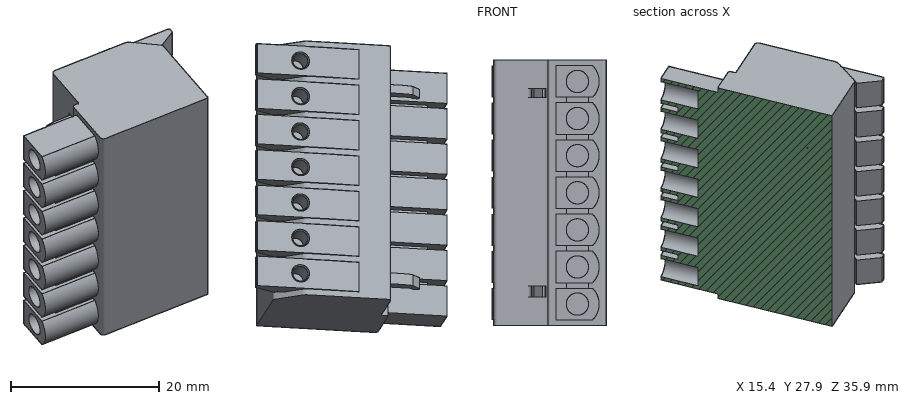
import cadquery as cq
import math


pole_count = 7
end_offset = 2.9

height = 35.88
body_width = 15.2
body_back = 16.65
body_front = 1.0
head_left = 7.32
bevel_width = 3.0
bevel_start = 12.85
front_corner_radius = 0.55
head_corner_radius = 0.32
step_radius = 0.18
bevel_front_radius = 1.08
bevel_back_radius = 0.55
back_corner_radius = 0.18

lever_height = 4.15
lever_proud = 0.2
lever_tip = 19.6
lever_tip_width = 0.83
lever_tip_chamfer = 0.15
lever_nose_x = 2.4
lever_notch = 0.4
lever_flat_end = 9.6
lever_end = 5.45
lever_end_proud = 0.07
lever_root_x = 0.7

test_hole_y = 13.53
test_hole_radius = 1.05
test_hole_mouth_radius = 1.22
test_hole_depth = 3.6

finger_height = 4.27
finger_length = 8.3
finger_left = 8.43
socket_x = 11.3
socket_radius = 1.5
socket_depth = 5.38
finger_radius = 2.95

web_length = 5.85

latch_left = 5.13
latch_right = 6.65
latch_root_radius = 0.45
latch_taper_y = -1.45
latch_ramp_x = 5.4
latch_ramp_y = -2.98
latch_knee_x = 5.27
latch_knee_y = -2.65
latch_tip_y = -4.13
latch_barb = 0.43
latch_tip_chamfer = 0.15
latch_barb_height = 0.83
latch_barb_slope = 0.3
upper_latch_bottom = 30.82
upper_latch_height = 1.2
lower_latch_bottom = 3.85
lower_latch_height = 1.55

pitch = (height - 2 * end_offset) / (pole_count - 1)
pole_heights = [end_offset + i * pitch for i in range(pole_count)]


def make_housing():
    """Extruded block with a sloped corner and a stepped plug head."""
    body = (
        cq.Workplane("XY")
        .moveTo(0, body_front)
        .lineTo(head_left, body_front)
        .lineTo(head_left, 0)
        .lineTo(body_width, 0)
        .lineTo(body_width, body_back)
        .lineTo(bevel_width, body_back)
        .lineTo(0, bevel_start)
        .close()
        .extrude(height)
    )
    corner_radii = [
        (0, body_front, front_corner_radius),
        (body_width, 0, front_corner_radius),
        (head_left, 0, head_corner_radius),
        (head_left, body_front, step_radius),
        (0, bevel_start, bevel_front_radius),
        (bevel_width, body_back, bevel_back_radius),
        (body_width, body_back, back_corner_radius),
    ]
    for x, y, radius in corner_radii:
        corner = cq.selectors.NearestToPointSelector((x, y, height / 2))
        body = body.edges("|Z").edges(corner).fillet(radius)
    return body


def make_lever(z):
    """Release lever whose tip overhangs the sloped corner."""
    notch_x = lever_nose_x - lever_notch
    outer_x = -lever_proud
    return (
        cq.Workplane("XY", origin=(0, 0, z))
        .moveTo(outer_x, lever_flat_end)
        .lineTo(outer_x, lever_tip - lever_tip_chamfer)
        .lineTo(outer_x + lever_tip_chamfer, lever_tip)
        .lineTo(outer_x + lever_tip_width, lever_tip)
        .lineTo(lever_nose_x, body_back)
        .lineTo(notch_x, body_back - lever_notch)
        .lineTo(notch_x, lever_flat_end)
        .lineTo(lever_root_x, lever_end)
        .lineTo(-lever_end_proud, lever_end)
        .close()
        .extrude(lever_height / 2, both=True)
    )


def make_test_hole(z):
    """Round blind hole with a chamfered mouth, entering the lever face."""
    outer_x = -lever_proud
    mouth_depth = test_hole_mouth_radius - test_hole_radius
    return (
        cq.Workplane("XY", origin=(0, test_hole_y, z))
        .moveTo(outer_x, 0)
        .lineTo(outer_x, test_hole_mouth_radius)
        .lineTo(outer_x + mouth_depth, test_hole_radius)
        .lineTo(outer_x + test_hole_depth, test_hole_radius)
        .lineTo(outer_x + test_hole_depth, 0)
        .close()
        .revolve(360, (0, 0, 0), (1, 0, 0))
    )


def make_finger(z):
    """Plug finger, square on the left and rounded on the right."""
    half_height = finger_height / 2
    arc_start = socket_x + math.sqrt(finger_radius**2 - half_height**2)
    return (
        cq.Workplane("XZ", origin=(0, 0, z))
        .moveTo(finger_left, -half_height)
        .lineTo(arc_start, -half_height)
        .threePointArc((socket_x + finger_radius, 0), (arc_start, half_height))
        .lineTo(finger_left, half_height)
        .close()
        .extrude(finger_length)
    )


def make_socket(z):
    """Blind contact socket in the finger end."""
    return (
        cq.Workplane("XZ", origin=(socket_x, -finger_length, z))
        .circle(socket_radius)
        .extrude(-socket_depth)
    )


def make_web():
    """Bar as wide as a socket that fills the gaps between the fingers."""
    span = pole_heights[-1] - pole_heights[0]
    return (
        cq.Workplane("XY", origin=(socket_x, -web_length, pole_heights[0]))
        .box(2 * socket_radius, web_length, span, centered=(True, False, False))
    )


def make_latch(bottom, thickness):
    """Hooked latch on the recessed front wall."""
    root_y = body_front - latch_root_radius
    root_bend = latch_root_radius * math.sqrt(0.5)
    root_x = latch_left - latch_root_radius
    nose_x = latch_ramp_x + (latch_ramp_y - latch_tip_y)
    barb_x = latch_right + latch_barb
    barb_top = latch_tip_y + latch_barb_height
    return (
        cq.Workplane("XY", origin=(0, 0, bottom))
        .moveTo(root_x, body_front)
        .threePointArc((root_x + root_bend, root_y + root_bend), (latch_left, root_y))
        .lineTo(latch_left, latch_taper_y)
        .lineTo(latch_knee_x, latch_knee_y)
        .lineTo(latch_ramp_x, latch_ramp_y)
        .lineTo(nose_x, latch_tip_y)
        .lineTo(barb_x - latch_tip_chamfer, latch_tip_y)
        .lineTo(barb_x, latch_tip_y + latch_tip_chamfer)
        .lineTo(barb_x, barb_top)
        .lineTo(latch_right, barb_top + latch_barb_slope)
        .lineTo(latch_right, body_front)
        .close()
        .extrude(thickness)
    )


result = make_housing().union(make_web())
for z in pole_heights:
    result = result.union(make_lever(z)).union(make_finger(z))
for z in pole_heights:
    result = result.cut(make_test_hole(z)).cut(make_socket(z))
result = result.union(make_latch(upper_latch_bottom, upper_latch_height))
result = result.union(make_latch(lower_latch_bottom, lower_latch_height))